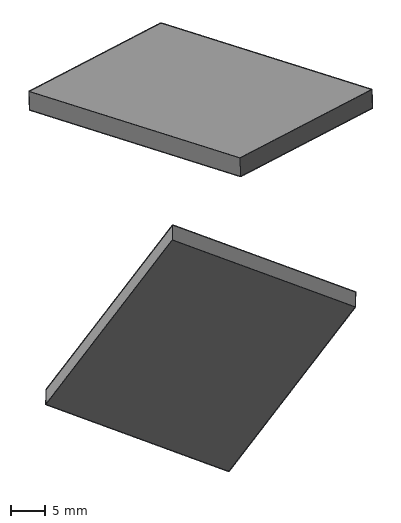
import cadquery as cq

plate_length = 39.945
plate_width = 30.0
plate_thickness = 3.0
tilt_angle = 2.155


def tilted_plate():
    """Plain rectangular plate centred on the origin and tilted about the Y axis."""
    plate = cq.Workplane("XY").box(plate_length, plate_width, plate_thickness)
    return plate.rotate((0, 0, 0), (0, 1, 0), -tilt_angle)


result = tilted_plate()